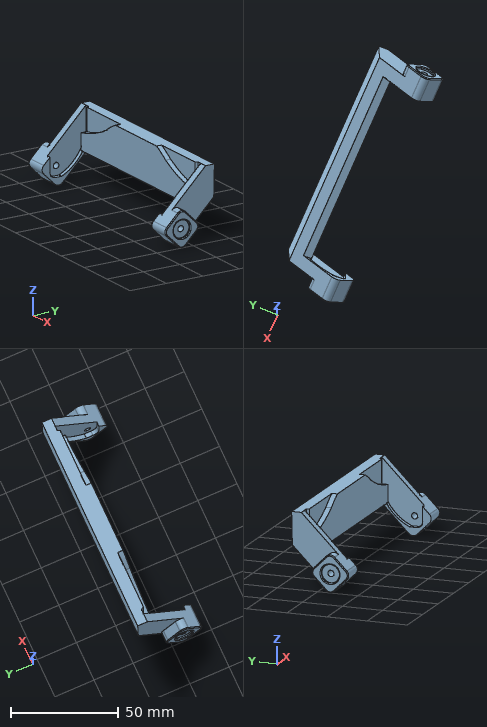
import cadquery as cq
import math

length = 120.0
depth = 30.5
height = 35.9
half_length = length / 2

hub_half_width = 7.3
hub_corner_radius = 3.0
hub_edge_chamfer = 0.5
hub_thickness = 12.1
arm_setback = 5.5
arm_recess_depth = 2.3
back_edge_lean = 0.4
arm_outer_x = half_length - arm_setback
arm_inner_x = half_length - hub_thickness
recess_floor_x = arm_inner_x + arm_recess_depth
hub_reach = hub_half_width * math.sqrt(2) - hub_corner_radius * (math.sqrt(2) - 1)
hub_y = hub_reach - depth
hub_z = hub_reach - height

hub_offset = hub_half_width * math.sqrt(2)
front_line = hub_z - hub_y + hub_offset
back_line = hub_z - hub_y - hub_offset

pivot_diameter = 3.0
counterbore_diameter = 9.0
counterbore_depth = 1.2
counterbore_chamfer = 0.5

web_front_y = -6.2
web_bevel_width = 0.7
panel_front_y = -9.0
plate_bottom_z = -21.0
corner_groove_y = -front_line
panel_top_half_width = 18.0
panel_curve_mid = (22.3, -2.3)
panel_joint = (25.9, -4.7)
panel_sweep_mid = (37.2, -9.6)
panel_side_z = -12.2

recess_floor_z = -31.7
recess_end_y = -26.2
recess_corner_radius = 3.0
recess_flat_start_y = -19.8
recess_sweep_mid = (-10.0, -24.0)


def yz_prism(profile, start_x, end_x):
    """Extrude a profile drawn on the YZ plane from start_x to end_x."""
    return profile.extrude(end_x - start_x).translate((start_x, 0, 0))


def make_hub(start_x, end_x):
    hub = cq.Workplane("YZ").rect(2 * hub_half_width, 2 * hub_half_width)
    hub = hub.extrude(end_x - start_x).edges("|X").fillet(hub_corner_radius)
    hub = hub.rotate((0, 0, 0), (1, 0, 0), 45)
    return hub.translate((start_x, hub_y, hub_z))


def make_arm():
    half_step = hub_offset / 2
    profile = (
        cq.Workplane("YZ")
        .moveTo(0, 0)
        .lineTo(-front_line, 0)
        .lineTo(hub_y - half_step, hub_z + half_step)
        .lineTo(hub_y + half_step, hub_z - half_step)
        .lineTo(-back_edge_lean, back_line - back_edge_lean)
        .close()
    )
    arm = yz_prism(profile, arm_inner_x, arm_outer_x)
    hub = make_hub(arm_inner_x, half_length).faces(">X").chamfer(hub_edge_chamfer)
    return arm.union(hub)


def make_arm_recess():
    profile = (
        cq.Workplane("YZ")
        .moveTo(corner_groove_y, 0)
        .lineTo(corner_groove_y, panel_side_z)
        .threePointArc(recess_sweep_mid, (recess_flat_start_y, recess_floor_z))
        .lineTo(recess_end_y + recess_corner_radius, recess_floor_z)
        .radiusArc((recess_end_y, recess_floor_z + recess_corner_radius), recess_corner_radius)
        .lineTo(recess_end_y, 0)
        .close()
    )
    return yz_prism(profile, arm_inner_x, recess_floor_x)


def make_pivot_bore():
    rim_radius = counterbore_diameter / 2 + counterbore_chamfer
    bore = cq.Workplane("YZ").circle(pivot_diameter / 2).extrude(-hub_thickness)
    counterbore = cq.Workplane("YZ").circle(counterbore_diameter / 2).extrude(-counterbore_depth)
    rim = cq.Workplane("YZ").circle(rim_radius).extrude(-counterbore_chamfer, taper=45)
    return bore.union(counterbore).union(rim).translate((half_length, hub_y, hub_z))


def make_web():
    profile = (
        cq.Workplane("YZ")
        .moveTo(0, 0)
        .lineTo(web_front_y, 0)
        .lineTo(web_front_y, plate_bottom_z)
        .lineTo(plate_bottom_z - back_line, plate_bottom_z)
        .lineTo(-back_edge_lean, back_line - back_edge_lean)
        .close()
    )
    web = yz_prism(profile, -arm_inner_x, arm_inner_x)
    front_corners = (
        cq.Workplane("XY")
        .polyline([
            (arm_inner_x, corner_groove_y),
            (arm_inner_x, web_front_y),
            (arm_inner_x - web_bevel_width, web_front_y),
        ])
        .close()
        .extrude(plate_bottom_z)
    )
    return web.cut(front_corners).cut(front_corners.mirror("YZ"))


def make_raised_panel():
    def mirrored(point):
        return (-point[0], point[1])

    top_corner = (panel_top_half_width, 0)
    side_corner = (arm_inner_x, panel_side_z)
    panel = (
        cq.Workplane("XZ")
        .moveTo(*mirrored(top_corner))
        .lineTo(*top_corner)
        .threePointArc(panel_curve_mid, panel_joint)
        .threePointArc(panel_sweep_mid, side_corner)
        .lineTo(arm_inner_x, plate_bottom_z)
        .lineTo(-arm_inner_x, plate_bottom_z)
        .lineTo(*mirrored(side_corner))
        .threePointArc(mirrored(panel_sweep_mid), mirrored(panel_joint))
        .threePointArc(mirrored(panel_curve_mid), mirrored(top_corner))
        .close()
        .extrude(corner_groove_y - panel_front_y)
    )
    return panel.translate((0, corner_groove_y, 0))


right_arm = make_arm().cut(make_arm_recess()).cut(make_pivot_bore())
result = make_web().union(make_raised_panel()).union(right_arm).union(right_arm.mirror("YZ"))